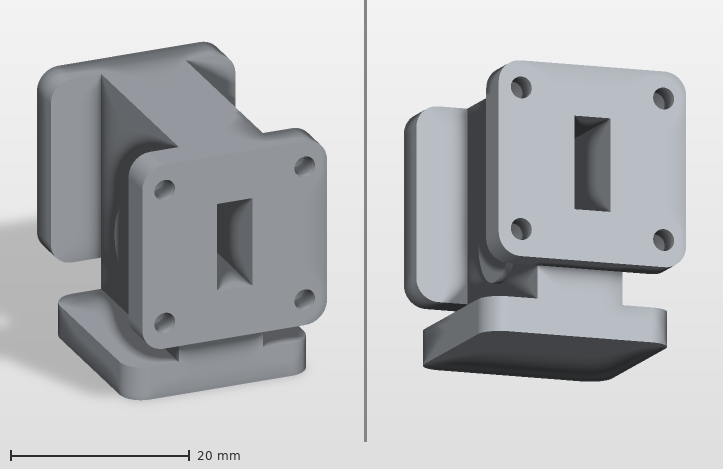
import cadquery as cq
import math


flange_side = 22.4
flange_thickness = 4.0
flange_corner_radius = 2.6

body_thickness = 10.2
total_height = 30.2

guide_height = 10.7
guide_width = 4.3

screw_hole_diameter = 2.5
screw_hole_depth = 3.0
screw_spacing_y = 17.0
screw_spacing_z = 16.2
drill_point_angle = 118.0

disc_diameter = 10.4
disc_projection = 0.9
disc_center_z = 13.25

body_length = flange_side
total_length = body_length + 2 * flange_thickness
port_center_z = total_height - flange_side / 2


def make_body():
    """Upright slab that joins the three flanges."""
    return cq.Workplane("XY").box(
        body_length, body_thickness, total_height, centered=(True, True, False)
    )


def make_side_flange(direction):
    """Rounded square flange on the -X (direction -1) or +X (direction 1) end of the body."""
    center_x = direction * (body_length + flange_thickness) / 2
    return (
        cq.Workplane("XY")
        .box(flange_thickness, flange_side, flange_side)
        .edges("|X")
        .fillet(flange_corner_radius)
        .translate((center_x, 0, port_center_z))
    )


def make_bottom_flange():
    """Rounded square flange under the body."""
    return (
        cq.Workplane("XY")
        .box(flange_side, flange_side, flange_thickness, centered=(True, True, False))
        .edges("|Z")
        .fillet(flange_corner_radius)
    )


def make_discs():
    """Round cover on both broad faces of the body, made as one cylinder through it."""
    length = body_thickness + 2 * disc_projection
    return (
        cq.Workplane("XZ")
        .center(0, disc_center_z)
        .circle(disc_diameter / 2)
        .extrude(length / 2, both=True)
    )


def make_guide_channel():
    """Rectangular waveguide channel that runs straight through both side flanges."""
    return (
        cq.Workplane("XY")
        .box(total_length, guide_width, guide_height)
        .translate((0, 0, port_center_z))
    )


def make_screw_holes(direction):
    """Four blind drilled holes with conical ends, entering the side flange from its outer face."""
    radius = screw_hole_diameter / 2
    point_depth = radius / math.tan(math.radians(drill_point_angle / 2))
    drill = (
        cq.Workplane("XY")
        .lineTo(radius, 0)
        .lineTo(radius, screw_hole_depth)
        .lineTo(0, screw_hole_depth + point_depth)
        .close()
        .revolve(360, (0, 0), (0, 1))
        .rotate((0, 0, 0), (0, 0, 1), direction * 90)
    )
    holes = cq.Workplane("XY")
    for side_y in (-1, 1):
        for side_z in (-1, 1):
            position = (
                direction * total_length / 2,
                side_y * screw_spacing_y / 2,
                port_center_z + side_z * screw_spacing_z / 2,
            )
            holes = holes.add(drill.translate(position))
    return holes.combine()


result = make_body().union(make_bottom_flange()).union(make_discs())
for end in (-1, 1):
    result = result.union(make_side_flange(end))
result = result.cut(make_guide_channel())
for end in (-1, 1):
    result = result.cut(make_screw_holes(end))
result = result.solids()